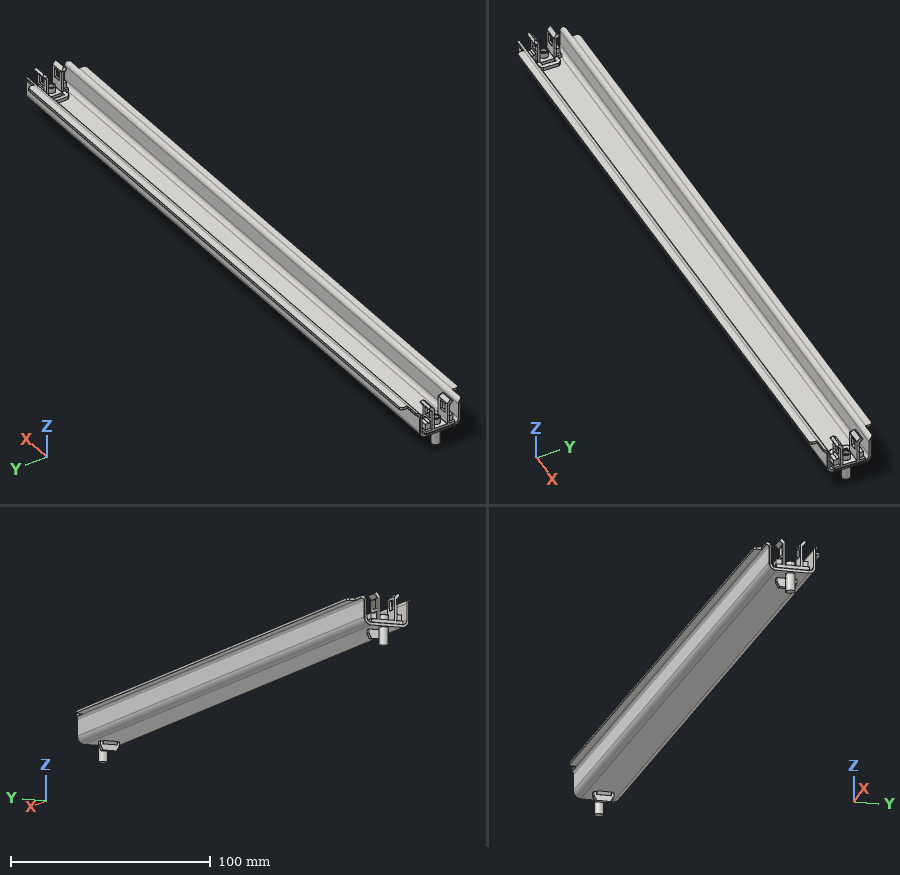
import cadquery as cq

overall_length = 359.5
overall_height = 26.5

rail_end_gap = 0.5
rail_length = overall_length - 2 * rail_end_gap
rail_width = 35.0
rail_height = 15.0
sheet = 1.4
wall_inner_y = 10.9
flange_bend_radius = 2.6
floor_bend_radius = 3.9
flange_setback = 9.8
flange_corner_cut = 1.2
trimmed_width = 2 * (wall_inner_y + flange_bend_radius)
wall_corner_cut = 1.6

clip_length = 7.8
base_width = 17.2
base_top_z = 3.2
pad_start = 1.5
pad_length = 5.0
pad_outer_y = 8.3
pad_top_z = 6.5
arm_thickness = 1.3
arm_outer_y = 5.2
arm_length = 8.5
arm_tip_rise = 2.0
arm_tip_reach = 2.0
arm_tip_bevel = 1.2
arm_top_z = 17.3
fillet_size = 1.0
window_length = 4.0
window_bottom_z = 9.0
window_top_z = 14.0

pin_diameter = 4.8
pin_inset = 4.7
pin_top_z = 6.3
pin_recess_diameter = 3.2
pin_recess_depth = 2.0
pin_bottom_z = arm_top_z - overall_height

tongue_width = 12.0
tongue_corner_cut = 1.6
tongue_pocket_start = 9.2
tongue_pocket_width = 7.6
hook_inset = 12.3
hook_thickness = 2.4
tongue_end = hook_inset + hook_thickness / 2
hook_root_width = 10.4
hook_tip_width = 7.6
hook_taper_start_z = -2.0
hook_bottom_z = -4.6
barb_reach = 1.2
barb_height = 1.5


def box(x_min, x_max, width, z_min, z_max):
    """Block centred on Y between the given X and Z limits."""
    return cq.Workplane("XY").box(
        x_max - x_min, width, z_max - z_min, centered=(False, True, False)
    ).translate((x_min, 0, z_min))


def extrude_along_x(sketch, start_x, length):
    """Extrude a closed YZ outline from start_x."""
    return sketch.extrude(length).translate((start_x, 0, 0))


def rail_half_profile():
    """Closed YZ outline of the +Y half of the rail."""
    wall_outer_y = wall_inner_y + sheet
    flange_inner_radius = flange_bend_radius - sheet
    floor_inner_radius = floor_bend_radius - sheet
    flange_start_y = wall_inner_y + flange_bend_radius
    floor_end_y = wall_outer_y - floor_bend_radius
    flange_bottom_z = rail_height - sheet
    upper_bend_z = rail_height - flange_bend_radius
    return (
        cq.Workplane("YZ")
        .moveTo(0, 0)
        .lineTo(floor_end_y, 0)
        .radiusArc((wall_outer_y, floor_bend_radius), -floor_bend_radius)
        .lineTo(wall_outer_y, upper_bend_z)
        .radiusArc((flange_start_y, flange_bottom_z), flange_inner_radius)
        .lineTo(rail_width / 2, flange_bottom_z)
        .lineTo(rail_width / 2, rail_height)
        .lineTo(flange_start_y, rail_height)
        .radiusArc((wall_inner_y, upper_bend_z), -flange_bend_radius)
        .lineTo(wall_inner_y, floor_bend_radius)
        .radiusArc((floor_end_y, sheet), floor_inner_radius)
        .lineTo(0, sheet)
        .close()
    )


def plan_block(length, width, corner_cut):
    """Block of rail height, centred in plan, with chamfered corners."""
    block = cq.Workplane("XY").rect(length, width).extrude(rail_height)
    return block.edges("|Z").chamfer(corner_cut)


def make_rail():
    """Folded rail, cut back to its plan outline: flanges and trimmed ends."""
    half = extrude_along_x(rail_half_profile(), -rail_length / 2, rail_length)
    rail = half.union(half.mirror("XZ"))
    flange_length = overall_length - 2 * flange_setback
    flanged = plan_block(flange_length, rail_width, flange_corner_cut)
    trimmed = plan_block(rail_length, trimmed_width, wall_corner_cut)
    return rail.intersect(flanged.union(trimmed))


def make_arm():
    """Spring arm on the +Y side, with a window and an outward-leaning tip."""
    arm_inner_y = arm_outer_y - arm_thickness
    tip_start_z = arm_top_z - arm_tip_rise
    tip_y = arm_outer_y + arm_tip_reach
    outline = (
        cq.Workplane("YZ")
        .moveTo(arm_inner_y, sheet)
        .lineTo(arm_inner_y, tip_start_z)
        .lineTo(tip_y - arm_thickness, arm_top_z)
        .lineTo(tip_y, arm_top_z - arm_thickness)
        .lineTo(arm_outer_y, tip_start_z - arm_thickness)
        .lineTo(arm_outer_y, sheet)
        .close()
    )
    arm = extrude_along_x(outline, 0, arm_length)
    tip_corner = (
        cq.Workplane("XZ")
        .moveTo(arm_length, arm_top_z)
        .lineTo(arm_length - arm_tip_bevel, arm_top_z)
        .lineTo(arm_length, arm_top_z - arm_tip_rise)
        .close()
        .extrude(rail_width, both=True)
    )
    window = box(
        (arm_length - window_length) / 2,
        (arm_length + window_length) / 2,
        rail_width,
        window_bottom_z,
        window_top_z,
    )
    return arm.cut(tip_corner).cut(window)


def make_pad():
    """Pad outside the +Y arm, rising to meet the arm in a flat fillet."""
    outline = (
        cq.Workplane("YZ")
        .moveTo(arm_outer_y, base_top_z)
        .lineTo(pad_outer_y, base_top_z)
        .lineTo(pad_outer_y, pad_top_z)
        .lineTo(arm_outer_y + fillet_size, pad_top_z)
        .lineTo(arm_outer_y, pad_top_z + fillet_size)
        .close()
    )
    return extrude_along_x(outline, pad_start, pad_length)


def make_base():
    """Flat base resting on the rail floor."""
    return box(0, clip_length, base_width, sheet, base_top_z)


def make_pin():
    """Pin running through the base, with a round recess in its top."""
    pin = cq.Workplane("XY").circle(pin_diameter / 2).extrude(pin_top_z - pin_bottom_z)
    pin = pin.faces(">Z").workplane().hole(pin_recess_diameter, pin_recess_depth)
    return pin.translate((pin_inset, 0, pin_bottom_z))


def make_hook():
    """Tongue on the rail floor and the barbed leg that passes through the floor."""
    tongue = box(clip_length, tongue_end, tongue_width, sheet, base_top_z)
    tongue = tongue.edges("|Z and >X").chamfer(tongue_corner_cut)
    leg_start_x = hook_inset - hook_thickness / 2
    pocket = box(tongue_pocket_start, leg_start_x, tongue_pocket_width, sheet, base_top_z)
    leg_outline = (
        cq.Workplane("YZ")
        .moveTo(-hook_root_width / 2, sheet)
        .lineTo(-hook_root_width / 2, hook_taper_start_z)
        .lineTo(-hook_tip_width / 2, hook_bottom_z)
        .lineTo(hook_tip_width / 2, hook_bottom_z)
        .lineTo(hook_root_width / 2, hook_taper_start_z)
        .lineTo(hook_root_width / 2, sheet)
        .close()
    )
    leg = extrude_along_x(leg_outline, leg_start_x, hook_thickness)
    leg_end_x = leg_start_x + hook_thickness
    barb = (
        cq.Workplane("XZ")
        .moveTo(leg_end_x, 0)
        .lineTo(leg_end_x + barb_reach, 0)
        .lineTo(leg_end_x, -barb_height)
        .close()
        .extrude(hook_tip_width / 2, both=True)
    )
    return tongue.cut(pocket).union(leg).union(barb)


def make_clip():
    """Clip for the -X end of the rail."""
    side = make_arm().union(make_pad())
    clip = make_base().union(side).union(side.mirror("XZ")).union(make_pin()).union(make_hook())
    return clip.translate((-overall_length / 2, 0, 0))


clip = make_clip()
result = make_rail().union(clip).union(clip.mirror("YZ"))